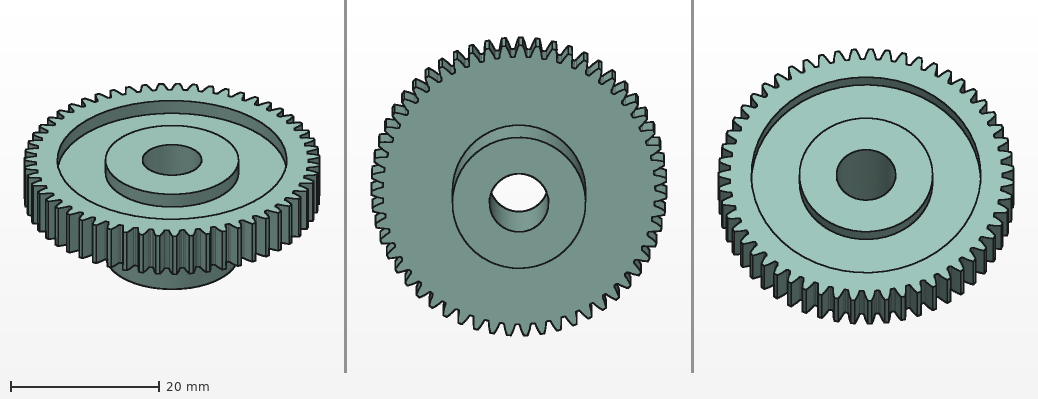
import cadquery as cq
import math

TOOTH_COUNT = 55
TIP_DIAMETER = 39.9
PRESSURE_ANGLE = math.radians(20.0)
ROOT_CLEARANCE = 0.25
ROOT_FILLET = 0.2
FLANK_POINTS = 5

MODULE = TIP_DIAMETER / (TOOTH_COUNT + 2)
TIP_RADIUS = TIP_DIAMETER / 2
PITCH_RADIUS = MODULE * TOOTH_COUNT / 2
BASE_RADIUS = PITCH_RADIUS * math.cos(PRESSURE_ANGLE)
ROOT_RADIUS = PITCH_RADIUS - (1 + ROOT_CLEARANCE) * MODULE
TOOTH_PITCH = 2 * math.pi / TOOTH_COUNT
FIRST_TOOTH_ANGLE = math.radians(-90.0)

TOTAL_HEIGHT = 15.0
RIM_THICKNESS = 6.0
HUB_DIAMETER = 18.0
BORE_DIAMETER = 7.98
RECESS_DIAMETER = 31.0
RECESS_DEPTH = 2.0

RIM_BOTTOM = TOTAL_HEIGHT - RIM_THICKNESS


def polar(radius, angle):
    return (radius * math.cos(angle), radius * math.sin(angle))


def involute(angle):
    return math.tan(angle) - angle


def half_tooth_angle(radius):
    """Angle from the tooth centre line to its involute flank at the given radius."""
    flank_pressure_angle = math.acos(BASE_RADIUS / radius)
    return TOOTH_PITCH / 4 + involute(PRESSURE_ANGLE) - involute(flank_pressure_angle)


def gear_blank():
    """Toothed disc with involute flanks and rounded tooth roots."""
    flank_step = (TIP_RADIUS - ROOT_RADIUS) / (FLANK_POINTS - 1)
    radii = [ROOT_RADIUS + i * flank_step for i in range(FLANK_POINTS)]

    start_angle = FIRST_TOOTH_ANGLE - half_tooth_angle(ROOT_RADIUS)
    outline = cq.Workplane("XY").workplane(offset=RIM_BOTTOM)
    outline = outline.moveTo(*polar(ROOT_RADIUS, start_angle))
    for tooth in range(TOOTH_COUNT):
        centre = FIRST_TOOTH_ANGLE + tooth * TOOTH_PITCH
        rising = [polar(r, centre - half_tooth_angle(r)) for r in radii]
        falling = [polar(r, centre + half_tooth_angle(r)) for r in reversed(radii)]
        gap_middle = polar(ROOT_RADIUS, centre + TOOTH_PITCH / 2)
        next_root = polar(ROOT_RADIUS, centre + TOOTH_PITCH - half_tooth_angle(ROOT_RADIUS))

        outline = outline.spline(rising[1:], includeCurrent=True)
        outline = outline.threePointArc(polar(TIP_RADIUS, centre), falling[0])
        outline = outline.spline(falling[1:], includeCurrent=True)
        outline = outline.threePointArc(gap_middle, next_root)

    blank = outline.close().extrude(RIM_THICKNESS)
    mid_radius = (ROOT_RADIUS + TIP_RADIUS) / 2

    def is_root_edge(edge):
        return math.hypot(edge.Center().x, edge.Center().y) < mid_radius

    return blank.edges("|Z").filter(is_root_edge).fillet(ROOT_FILLET)


def face_recess():
    """Ring removed from the top face, leaving the hub flush with the rim."""
    return (
        cq.Workplane("XY")
        .workplane(offset=TOTAL_HEIGHT - RECESS_DEPTH)
        .circle(RECESS_DIAMETER / 2)
        .circle(HUB_DIAMETER / 2)
        .extrude(RECESS_DEPTH)
    )


hub = cq.Workplane("XY").circle(HUB_DIAMETER / 2).extrude(RIM_BOTTOM)
bore = cq.Workplane("XY").circle(BORE_DIAMETER / 2).extrude(TOTAL_HEIGHT)

result = gear_blank().union(hub).cut(face_recess()).cut(bore)